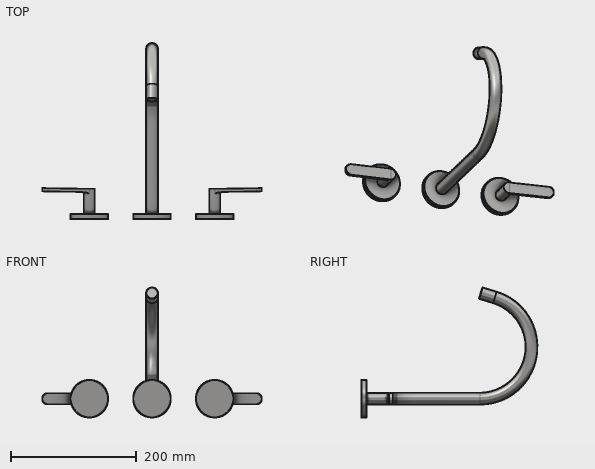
import cadquery as cq
import math

overall_width = 349.7
overall_depth = 280.0

flange_diameter = 60.0
flange_thickness = 8.7
flange_chamfer = 1.0
handle_offset = 99.7

spout_diameter = 19.2
bend_start = 188.0
bend_radius = overall_depth - bend_start - spout_diameter / 2
nozzle_rise = 17
bend_angle = 180 - nozzle_rise
nozzle_length = 23.8
nozzle_chamfer = 0.7

post_diameter = 18.0
post_top = 48.3
lever_thickness = 5.5
lever_tilt = 0.9
lever_reach = overall_width / 2 - handle_offset
lever_fillet = 2.8


def y_cylinder(diameter, start, end, x=0):
    """Cylinder along +Y between two Y positions."""
    return (
        cq.Workplane("XZ", origin=(x, start, 0))
        .circle(diameter / 2)
        .extrude(start - end)
    )


def make_flange(x):
    """Wall plate with a chamfered outward rim."""
    return y_cylinder(flange_diameter, 0, flange_thickness, x).faces(">Y").chamfer(flange_chamfer)


def bend_point(angle):
    """Y and Z on the bend's centreline, `angle` degrees after its start."""
    turn = math.radians(angle)
    return bend_start + bend_radius * math.sin(turn), bend_radius * (1 - math.cos(turn))


def make_spout():
    """Straight tube and bend, swept along the centreline."""
    path = (
        cq.Workplane("YZ")
        .moveTo(flange_thickness, 0)
        .lineTo(bend_start, 0)
        .threePointArc(bend_point(bend_angle / 2), bend_point(bend_angle))
    )
    return (
        cq.Workplane("XZ", origin=(0, flange_thickness, 0))
        .circle(spout_diameter / 2)
        .sweep(path)
    )


def make_nozzle():
    """Outlet cylinder that continues the end of the bend."""
    rise = math.radians(nozzle_rise)
    outlet_plane = cq.Plane(
        origin=(0, *bend_point(bend_angle)),
        xDir=(1, 0, 0),
        normal=(0, -math.cos(rise), math.sin(rise)),
    )
    nozzle = cq.Workplane(outlet_plane).circle(spout_diameter / 2).extrude(nozzle_length)
    return nozzle.faces("<Y").chamfer(nozzle_chamfer)


def lever_outline(tip_radius):
    """Round-ended prism along Y that bounds the lever in X and Z."""
    return (
        cq.Workplane("XZ", origin=(handle_offset, 0, 0))
        .moveTo(0, -tip_radius)
        .lineTo(lever_reach - tip_radius, -tip_radius)
        .threePointArc((lever_reach, 0), (lever_reach - tip_radius, tip_radius))
        .lineTo(0, tip_radius)
        .close()
        .extrude(-2 * post_top)
    )


def lever_strip(half_width):
    """Straight strip that starts on the post's axis and tilts away from the wall."""
    tip_lift = lever_reach * math.tan(math.radians(lever_tilt))
    return (
        cq.Workplane("XY", origin=(handle_offset, post_top, 0))
        .polyline([
            (0, 0),
            (lever_reach, tip_lift),
            (lever_reach, tip_lift - lever_thickness),
            (0, -lever_thickness),
        ])
        .close()
        .extrude(half_width, both=True)
    )


def fillet_ring(post_radius):
    """Concave ring round the post; its top lies inside the lever."""
    arc_middle = lever_fillet * (1 - math.sqrt(0.5))
    outer_radius = post_radius + lever_fillet
    ring_top = lever_thickness / 2
    return (
        cq.Workplane("XY", origin=(handle_offset, post_top - lever_thickness, 0))
        .moveTo(0, -lever_fillet)
        .lineTo(post_radius, -lever_fillet)
        .threePointArc((post_radius + arc_middle, -arc_middle), (outer_radius, 0))
        .lineTo(outer_radius, ring_top)
        .lineTo(0, ring_top)
        .close()
        .revolve(360, (0, 0), (0, 1))
    )


def make_right_handle():
    """Post and lever, with the lever pointing to +X."""
    post = y_cylinder(post_diameter, flange_thickness, post_top, handle_offset)
    post_radius = post_diameter / 2
    lever = lever_strip(post_radius).union(fillet_ring(post_radius))
    return post.union(lever.intersect(lever_outline(post_radius)))


flanges = [make_flange(x) for x in (-handle_offset, 0, handle_offset)]
spout = make_spout()
nozzle = make_nozzle()
right_handle = make_right_handle()
handles = [right_handle, right_handle.mirror("YZ")]

result = cq.Compound.makeCompound([
    *[flange.val() for flange in flanges],
    spout.val(),
    nozzle.val(),
    *[handle.val() for handle in handles],
])